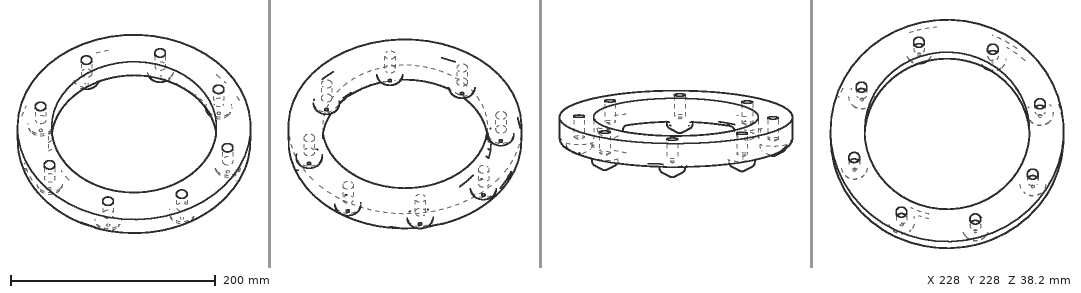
import cadquery as cq
import math

outer_diameter = 228.0
inner_diameter = 161.2
ring_height = 24.5
rim_radius = 3.6

foot_count = 8
foot_circle_diameter = 189.7
foot_radius = 12.8
foot_drop = 13.7
flare_radius = 4.0
cone_angle = 30.0
tip_radius = 1.5

hole_diameter = 10.5
hole_depth = 20.5
drill_point_angle = 118.0

edge_search_margin = 0.2

foot_circle_radius = foot_circle_diameter / 2
hole_radius = hole_diameter / 2


def turned(profile):
    """Solid of revolution around Z of a closed profile in the XZ plane."""
    return profile.revolve(360, (0, 0, 0), (0, 1, 0))


def make_ring():
    """Ring with its two lower rims rounded."""
    blank = cq.Workplane("XY").circle(outer_diameter / 2).circle(inner_diameter / 2).extrude(ring_height)
    return blank.faces("<Z").edges().fillet(rim_radius)


def make_post():
    """Straight post on the Z axis, reaching from inside the ring down to the foot tip."""
    return cq.Workplane("XY").workplane(offset=-foot_drop).circle(foot_radius).extrude(foot_drop + rim_radius)


def make_turning_cutter():
    """Waste around the foot on the Z axis: what is left has a rounded shoulder, a cone and a flat tip."""
    slope = math.radians(cone_angle)
    shoulder_sweep = math.pi / 2 - slope

    drop_below_flare = foot_drop - flare_radius
    cone_rise = (foot_radius - tip_radius) * math.tan(slope)
    shoulder_radius = (drop_below_flare - cone_rise) / (
        math.cos(slope) - (1 - math.sin(slope)) * math.tan(slope)
    )

    def shoulder_point(angle):
        return (
            foot_radius - shoulder_radius * (1 - math.cos(angle)),
            -flare_radius - shoulder_radius * math.sin(angle),
        )

    profile = (
        cq.Workplane("XZ")
        .moveTo(foot_radius, -flare_radius)
        .threePointArc(shoulder_point(shoulder_sweep / 2), shoulder_point(shoulder_sweep))
        .lineTo(tip_radius, -foot_drop)
        .lineTo(foot_radius, -foot_drop)
        .close()
    )
    return turned(profile)


def make_hole():
    """Cutter for a blind hole on the Z axis, open at the ring top."""
    point_depth = hole_radius / math.tan(math.radians(drill_point_angle / 2))
    floor = ring_height - hole_depth
    profile = (
        cq.Workplane("XZ")
        .moveTo(0, ring_height)
        .lineTo(hole_radius, ring_height)
        .lineTo(hole_radius, floor)
        .lineTo(0, floor - point_depth)
        .close()
    )
    return turned(profile)


def at_foot(shape, angle):
    """Shape moved from the Z axis to the foot at the given angle in degrees, turned along with it."""
    return shape.translate((foot_circle_radius, 0, 0)).rotate((0, 0, 0), (0, 0, 1), angle)


def junction_box(angle):
    """Selector for the edges where the foot at the given angle in degrees meets the ring."""
    x = foot_circle_radius * math.cos(math.radians(angle))
    y = foot_circle_radius * math.sin(math.radians(angle))
    reach = foot_radius + edge_search_margin
    low_corner = (x - reach, y - reach, -edge_search_margin)
    high_corner = (x + reach, y + reach, rim_radius)
    return cq.selectors.BoxSelector(low_corner, high_corner, boundingbox=True)


post = make_post()
turning_cutter = make_turning_cutter()
hole = make_hole()

result = make_ring()
for foot_index in range(foot_count):
    foot_angle = 360 * foot_index / foot_count
    result = result.union(at_foot(post, foot_angle))
    result = result.edges(junction_box(foot_angle)).fillet(flare_radius)
    result = result.cut(at_foot(turning_cutter, foot_angle))
    result = result.cut(at_foot(hole, foot_angle))